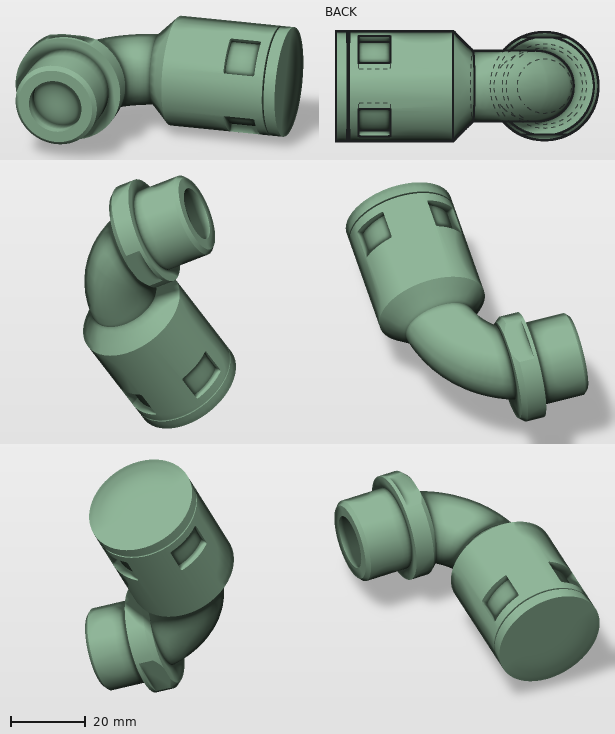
import cadquery as cq
import math


overall_length = 70.2
cut_clearance = 0.7

socket_radius = 29.5 / 2
cone_end_x = 24.35
cone_start_radius = 7.0
groove_start_x = 52.15
groove_width = 0.5
groove_radius = 23.4 / 2

window_start_x = 41.15
window_length = 8.55
window_width = 10.25
window_corner_radius = 0.5
window_floor_radius = 12.65
window_count = 4

tube_radius = 9.5
bend_radius = 24.0

collar_radius = 29.0 / 2
collar_top_y = -13.75
collar_height = 6.5
collar_chamfer_height = 1.5
collar_chamfer_inset = 1.25
flat_distance = 13.0
rim_thickness = 1.0

spigot_radius = 22.5 / 2
spigot_length = 13.0
spigot_chamfer = 1.05
bore_radius = 14.5 / 2
bore_depth = 5.0

socket_end_x = overall_length - collar_radius
collar_bottom_y = collar_top_y - collar_height
spigot_end_y = collar_bottom_y - spigot_length


def cylinder_x(radius, start_x, length):
    return cq.Workplane("YZ", origin=(start_x, 0, 0)).circle(radius).extrude(length)


def make_socket():
    cone_start_x = cone_end_x - (socket_radius - cone_start_radius)
    profile = [
        (cone_start_x, 0),
        (cone_start_x, cone_start_radius),
        (cone_end_x, socket_radius),
        (socket_end_x, socket_radius),
        (socket_end_x, 0),
    ]
    body = cq.Workplane("XY").polyline(profile).close().revolve(360, (0, 0, 0), (1, 0, 0))
    groove = cylinder_x(socket_radius + cut_clearance, groove_start_x, groove_width).cut(
        cylinder_x(groove_radius, groove_start_x, groove_width)
    )
    return body.cut(groove).cut(make_windows())


def make_windows():
    cutter = (
        cq.Workplane("XY")
        .center(window_start_x + window_length / 2, 0)
        .rect(window_length, window_width)
        .extrude(socket_radius + cut_clearance)
        .edges("|Z")
        .fillet(window_corner_radius)
        .cut(cylinder_x(window_floor_radius, window_start_x, window_length))
    )
    pitch = 360 / window_count
    windows = cq.Workplane("XY")
    for index in range(window_count):
        windows = windows.add(cutter.rotate((0, 0, 0), (1, 0, 0), (index + 0.5) * pitch))
    return windows.combine()


def make_elbow():
    diagonal = bend_radius * math.sqrt(0.5)
    path = (
        cq.Workplane("XY")
        .moveTo(0, -bend_radius)
        .threePointArc((bend_radius - diagonal, diagonal - bend_radius), (bend_radius, 0))
    )
    return cq.Workplane("XZ", origin=(0, -bend_radius, 0)).circle(tube_radius).sweep(path)


def make_collar():
    profile = [
        (0, collar_bottom_y),
        (collar_radius, collar_bottom_y),
        (collar_radius, collar_top_y - collar_chamfer_height),
        (collar_radius - collar_chamfer_inset, collar_top_y),
        (0, collar_top_y),
    ]
    collar = cq.Workplane("XY").polyline(profile).close().revolve(360, (0, 0, 0), (0, 1, 0))
    flat_cutter = cq.Workplane("XY").box(
        2 * collar_radius, collar_height, collar_radius, centered=(True, False, False)
    ).translate((0, collar_bottom_y + rim_thickness, flat_distance))
    return collar.cut(flat_cutter).cut(flat_cutter.mirror("XY"))


def make_spigot():
    return (
        cq.Workplane("XZ", origin=(0, collar_bottom_y, 0))
        .circle(spigot_radius)
        .extrude(spigot_length)
        .faces("<Y")
        .chamfer(spigot_chamfer)
    )


def make_bore():
    floor_y = spigot_end_y + bore_depth
    return cq.Workplane("XZ", origin=(0, floor_y, 0)).circle(bore_radius).extrude(bore_depth)


result = make_elbow().union(make_socket()).union(make_collar()).union(make_spigot()).cut(make_bore())